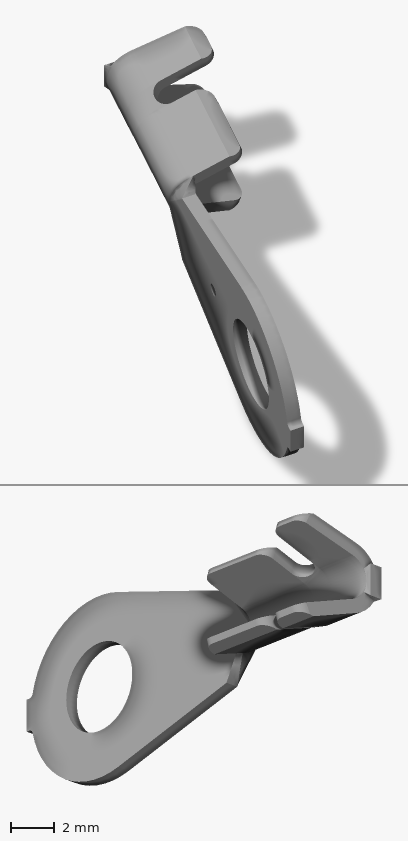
import cadquery as cq
import math


length = 22.67
sheet = 0.68

ring_diameter = 9.0
ring_radius = ring_diameter / 2
hole_radius = 2.18
hole_x = 17.89
tongue_x = 9.5
tongue_half_width = 2.3
dimple_x = 13.3
dimple_radius = 0.32
dimple_depth = 0.07

tab_half_width = 0.8
tab_fillet = 0.23
tab_root_angle = 30.0
tab_root_x = 0.32

wing_lean = 18.0
insulation_radius = 1.81
insulation_start_x = 0.23
insulation_end_x = 2.56
insulation_height = 4.58
insulation_end_lean = 5.0
wire_radius = 1.45
wire_start_x = 3.76
wire_end_x = 7.9
wire_height = 3.8

tip_corner_radius = 0.6
tip_chamfer_length = 0.63
tip_chamfer_depth = 0.36

web_wing_length = 1.13
web_notch_center_y = 1.9
neck_bend_angle = 80.0
neck_floor_angle = 4.0
neck_corner_width = 0.07

lean_sin = math.sin(math.radians(wing_lean))
lean_cos = math.cos(math.radians(wing_lean))
bend_angle = 90.0 - wing_lean
insulation_end_slope = math.tan(math.radians(insulation_end_lean))


def bend_point(outer_radius, radius, angle):
    """(Y, Z) point on a bend, with the angle measured from the middle of its floor."""
    turn = math.radians(angle)
    return outer_radius - radius * math.cos(turn), radius * math.sin(turn)


def along_wing(point, distance):
    """Point moved up the upper wing."""
    return point[0] + distance * lean_cos, point[1] + distance * lean_sin


def mirrored(point):
    return point[0], -point[1]


def bend_section(x, outer_radius, half_angle, wing_length=0.0):
    """U section of the sheet at one X, with optional straight wings."""
    inner_radius = outer_radius - sheet
    outer = bend_point(outer_radius, outer_radius, half_angle)
    inner = bend_point(outer_radius, inner_radius, half_angle)
    plane = cq.Workplane("YZ", origin=(x, 0, 0))
    if wing_length == 0.0:
        path = plane.moveTo(*mirrored(outer)).threePointArc((0, 0), outer).lineTo(*inner)
        return path.threePointArc((sheet, 0), mirrored(inner)).close()
    outer_tip = along_wing(outer, wing_length)
    inner_tip = along_wing(inner, wing_length)
    path = plane.moveTo(*mirrored(outer_tip)).lineTo(*mirrored(outer))
    path = path.threePointArc((0, 0), outer).lineTo(*outer_tip).lineTo(*inner_tip).lineTo(*inner)
    return path.threePointArc((sheet, 0), mirrored(inner)).lineTo(*mirrored(inner_tip)).close()


def flat_section(x, half_width):
    """Flat section of the sheet at one X."""
    path = cq.Workplane("YZ", origin=(x, 0, 0)).moveTo(0, -half_width).lineTo(0, half_width)
    return path.lineTo(sheet, half_width).lineTo(sheet, -half_width).close()


def ruled_loft(first, second):
    return cq.Workplane(cq.Solid.makeLoft([first.val(), second.val()], True))


def wing(outer_radius, start_x, end_x, height, end_slope):
    """Upper wing: a plate with rounded tip corners and a chamfer on its outer tip edge."""
    outer = bend_point(outer_radius, outer_radius, bend_angle)
    inner = bend_point(outer_radius, outer_radius - sheet, bend_angle)
    wing_length = (height - inner[0]) / lean_cos
    root_x = start_x + end_slope * outer[0]
    tip_x = root_x + end_slope * wing_length * lean_cos
    face = cq.Plane(origin=(0, *outer), xDir=(1, 0, 0), normal=(0, -lean_sin, lean_cos))
    plate = (
        cq.Workplane(face)
        .polyline([(root_x, 0), (end_x, 0), (end_x, wing_length), (tip_x, wing_length)])
        .close()
        .extrude(-sheet)
    )
    tip_face = plate.faces(cq.selectors.DirectionMinMaxSelector(cq.Vector(0, lean_cos, lean_sin)))
    tip_edges = tip_face.edges(cq.selectors.ParallelDirSelector(cq.Vector(0, -lean_sin, lean_cos)))
    plate = plate.newObject(tip_edges.vals()).fillet(tip_corner_radius)
    side = cq.Plane(origin=(start_x, *outer), xDir=(0, lean_cos, lean_sin), normal=(1, 0, 0))
    chamfer = (
        cq.Workplane(side)
        .polyline([
            (wing_length - tip_chamfer_length, 0),
            (wing_length, 0),
            (wing_length, -tip_chamfer_depth),
        ])
        .close()
        .extrude(end_x - start_x)
    )
    return plate.cut(chamfer)


def barrel(outer_radius, start_x, end_x, height, end_slope=0.0):
    """Open crimp barrel whose start face can slope away from square."""
    floor = bend_section(start_x, outer_radius, bend_angle).extrude(end_x - start_x)
    upper = wing(outer_radius, start_x, end_x, height, end_slope)
    body = floor.union(upper).union(upper.mirror("XY"))
    if end_slope > 0.0:
        slope_cut = (
            cq.Workplane("XY")
            .polyline([(start_x, 0), (start_x, height), (start_x + end_slope * height, height)])
            .close()
            .extrude(ring_radius, both=True)
        )
        body = body.cut(slope_cut)
    return body


def web():
    """Bridge between the barrels with a round notch across each wing."""
    bridge = ruled_loft(
        bend_section(insulation_end_x, insulation_radius, bend_angle, web_wing_length),
        bend_section(wire_start_x, wire_radius, bend_angle, web_wing_length),
    )
    notch_radius = (wire_start_x - insulation_end_x) / 2
    notch_x = (wire_start_x + insulation_end_x) / 2
    mean_radius = (insulation_radius + wire_radius) / 2
    middle = bend_point(mean_radius, mean_radius - sheet / 2, bend_angle)
    center = along_wing(middle, (web_notch_center_y - middle[0]) / lean_cos)
    face = cq.Plane(origin=(notch_x, *center), xDir=(1, 0, 0), normal=(0, -lean_sin, lean_cos))
    notch = cq.Workplane(face).circle(notch_radius).extrude(sheet, both=True)
    above = (
        cq.Workplane(face)
        .center(0, web_wing_length)
        .rect(2 * notch_radius, 2 * web_wing_length)
        .extrude(sheet, both=True)
    )
    cutter = notch.union(above)
    return bridge.cut(cutter).cut(cutter.mirror("XY"))


def neck():
    """Nearly triangular floor between two curved flanks that narrow to the corners of the tongue."""
    inner_radius = wire_radius - sheet
    middle_angle = (neck_floor_angle + neck_bend_angle) / 2
    outer = [bend_point(wire_radius, wire_radius, angle) for angle in (neck_floor_angle, neck_bend_angle)]
    inner = [bend_point(wire_radius, inner_radius, angle) for angle in (neck_floor_angle, neck_bend_angle)]
    outer_middle = bend_point(wire_radius, wire_radius, middle_angle)
    inner_middle = bend_point(wire_radius, inner_radius, middle_angle)
    bend = (
        cq.Workplane("YZ", origin=(wire_end_x, 0, 0))
        .moveTo(*mirrored(outer[0]))
        .lineTo(*outer[0])
        .threePointArc(outer_middle, outer[1])
        .lineTo(*inner[1])
        .threePointArc(inner_middle, inner[0])
        .lineTo(*mirrored(inner[0]))
        .threePointArc(mirrored(inner_middle), mirrored(inner[1]))
        .lineTo(*mirrored(outer[1]))
        .threePointArc(mirrored(outer_middle), mirrored(outer[0]))
        .close()
    )
    edge = tongue_half_width
    corner = tongue_half_width - neck_corner_width
    flat = (
        cq.Workplane("YZ", origin=(tongue_x, 0, 0))
        .polyline([
            (0, -corner), (0, corner), (0, edge), (sheet, edge),
            (sheet, corner), (sheet, -corner), (sheet, -edge), (0, -edge),
        ])
        .close()
    )
    return ruled_loft(bend, flat)


def ring_tongue():
    """Tapered tongue tangent to the ring, with the hole, the end tab and the dimple."""
    reach = hole_x - tongue_x
    taper = math.asin(ring_radius / math.hypot(reach, tongue_half_width))
    taper -= math.atan2(tongue_half_width, reach)
    tangent_x = hole_x - ring_radius * math.sin(taper)
    tangent_z = ring_radius * math.cos(taper)
    tab_x = hole_x + math.sqrt(ring_radius**2 - tab_half_width**2)
    outline = (
        cq.Workplane("XZ")
        .moveTo(tongue_x, -tongue_half_width)
        .lineTo(tangent_x, -tangent_z)
        .threePointArc((hole_x, -ring_radius), (tab_x, -tab_half_width))
        .lineTo(length, -tab_half_width)
        .lineTo(length, tab_half_width)
        .lineTo(tab_x, tab_half_width)
        .threePointArc((hole_x, ring_radius), (tangent_x, tangent_z))
        .lineTo(tongue_x, tongue_half_width)
        .close()
    )
    plate = outline.extrude(-sheet)
    for side in (-1, 1):
        corner = cq.selectors.NearestToPointSelector((tab_x, sheet / 2, side * tab_half_width))
        plate = plate.edges("|Y").edges(corner).fillet(tab_fillet)
    hole = cq.Workplane("XZ").center(hole_x, 0).circle(hole_radius).extrude(-sheet)
    dimple = cq.Workplane("XZ").center(dimple_x, 0).circle(dimple_radius).extrude(-dimple_depth)
    return plate.cut(hole).cut(dimple)


insulation_barrel = barrel(
    insulation_radius, insulation_start_x, insulation_end_x, insulation_height, insulation_end_slope
)
wire_barrel = barrel(wire_radius, wire_start_x, wire_end_x, wire_height)
end_tab = ruled_loft(
    flat_section(0, tab_half_width),
    bend_section(tab_root_x, insulation_radius, tab_root_angle),
)

result = ring_tongue()
for piece in (neck(), wire_barrel, web(), insulation_barrel, end_tab):
    result = result.union(piece)